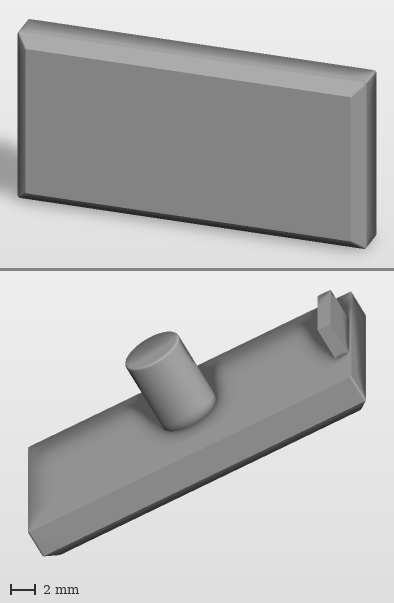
import cadquery as cq

plate_length = 30.0
plate_height = 15.0
plate_thickness = 3.5
face_bevel = 1.0
corner_radius = 0.2

peg_diameter = 5.0
peg_length = 6.5
peg_tip_radius = 0.2

tab_width = 1.2
tab_length = 3.0
tab_height = 6.0
tab_end_inset = 0.3

back_plane = cq.Workplane("XZ")


def make_plate():
    """Rectangular plate with a bevelled face and slightly rounded corners."""
    plate = back_plane.rect(plate_length, plate_height).extrude(plate_thickness)
    plate = plate.faces("<Y").chamfer(face_bevel)
    side_corners = plate.edges("|Y")
    bevel_mitres = plate.edges("not(|X or |Y or |Z)")
    return side_corners.add(bevel_mitres).fillet(corner_radius)


def make_peg():
    """Cylindrical peg with a slightly rounded tip."""
    peg = back_plane.circle(peg_diameter / 2).extrude(-peg_length)
    return peg.faces(">Y").fillet(peg_tip_radius)


def make_tab():
    """Plain rectangular tab standing off the back."""
    tab_center_x = -plate_length / 2 + tab_end_inset + tab_width / 2
    return back_plane.center(tab_center_x, 0).rect(tab_width, tab_height).extrude(-tab_length)


result = make_plate().union(make_peg()).union(make_tab())